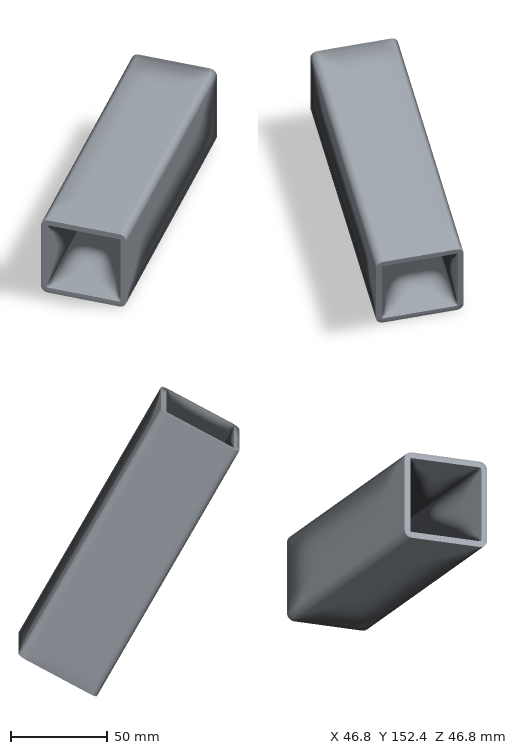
import cadquery as cq

length = 152.4
outer_width = 46.8
wall = 3.2
inner_radius = 0.8
inner_width = outer_width - 2 * wall
outer_radius = inner_radius + wall


def rounded_bar(width, corner_radius):
    """Square bar centred on the origin along Y, with rounded long edges."""
    return cq.Workplane("XY").box(width, length, width).edges("|Y").fillet(corner_radius)


outer_body = rounded_bar(outer_width, outer_radius)
bore = rounded_bar(inner_width, inner_radius)

result = outer_body.cut(bore)